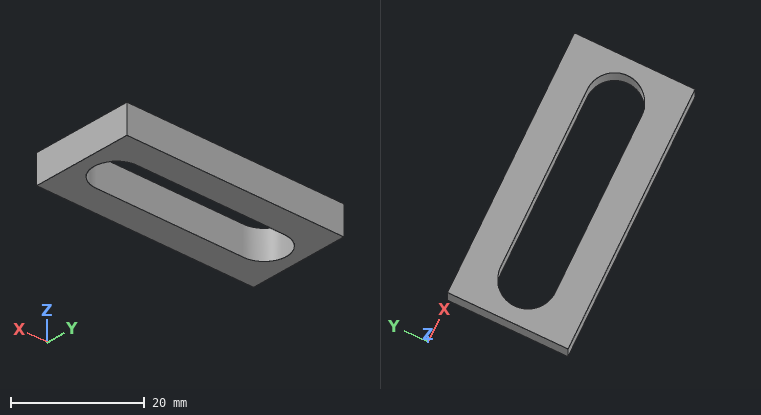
import cadquery as cq

plate_length = 44.0
plate_width = 20.0
plate_thickness = 5.8

slot_length = 39.0
slot_width = 9.0

plate = cq.Workplane("XY").box(plate_length, plate_width, plate_thickness)

result = plate.faces(">Z").workplane().slot2D(slot_length, slot_width).cutThruAll()